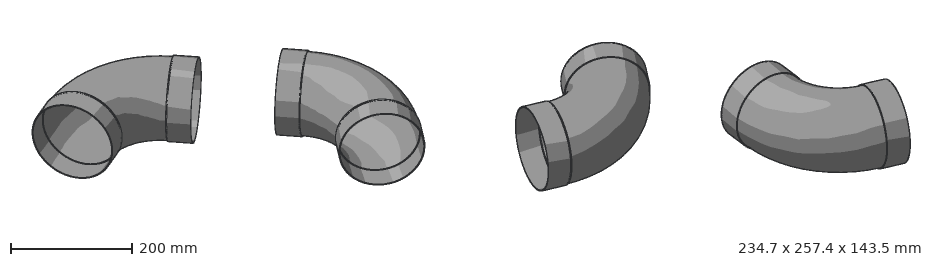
import cadquery as cq
import math

pipe_diameter = 140.0
collar_diameter = 143.5
pipe_bore = 136.3
collar_bore = pipe_diameter
collar_length = 42.0
bend_radius = 140.0
bend_angle = 75.0

wall = (pipe_diameter - pipe_bore) / 2
socket_depth = collar_length - wall

angle = math.radians(bend_angle)
outlet_direction = cq.Vector(math.sin(angle), math.cos(angle), 0)
bend_start = cq.Vector(0, collar_length, 0)
bend_end = bend_start + cq.Vector(1 - math.cos(angle), math.sin(angle), 0) * bend_radius
outlet_center = bend_end + outlet_direction * collar_length

bend_start_plane = cq.Plane(origin=bend_start, xDir=(1, 0, 0), normal=(0, 1, 0))
inlet_plane = cq.Plane(origin=(0, 0, 0), xDir=(1, 0, 0), normal=(0, -1, 0))
outlet_plane = cq.Plane(origin=outlet_center, xDir=(0, 0, 1), normal=outlet_direction)


def make_bend():
    """Hollow pipe elbow between the two collars."""
    return (
        cq.Workplane(bend_start_plane)
        .circle(pipe_diameter / 2)
        .circle(pipe_bore / 2)
        .revolve(bend_angle, (bend_radius, 0, 0), (bend_radius, 1, 0))
    )


def make_collar(mouth_plane):
    """Collar whose socket ends at a thin shoulder just before the bend."""
    body = cq.Workplane(mouth_plane).circle(collar_diameter / 2).extrude(-collar_length)
    socket = cq.Workplane(mouth_plane).circle(collar_bore / 2).extrude(-socket_depth)
    passage = cq.Workplane(mouth_plane).circle(pipe_bore / 2).extrude(-collar_length)
    return body.cut(socket).cut(passage)


result = make_bend().union(make_collar(inlet_plane)).union(make_collar(outlet_plane))